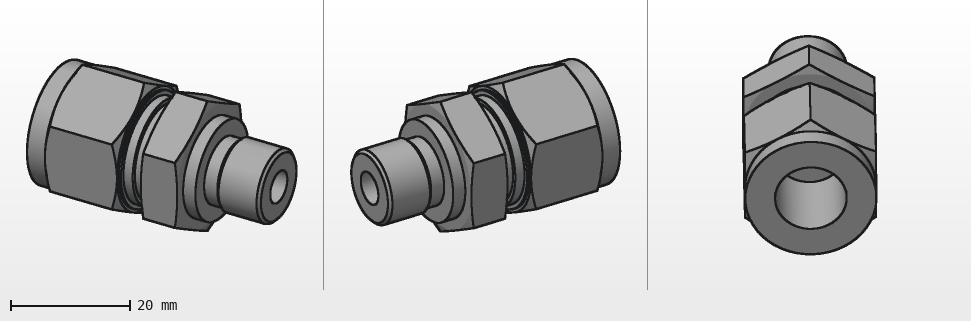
import cadquery as cq
import math

total_length = 42.3
across_flats = 22.0
across_corners = across_flats / math.cos(math.radians(30))

nut_collar_end = 3.45
nut_hex_end = 17.35
nut_lip_end = 17.77
body_ring_end = 19.55
neck_end = 21.95
body_hex_end = 29.0
seal_collar_end = 31.35
undercut_end = 33.9

nut_lip_diameter = 20.75
body_ring_diameter = 19.05
neck_diameter = 17.5
seal_collar_diameter = 18.03
undercut_diameter = 12.1
thread_diameter = 13.2
tube_bore_diameter = 12.0
through_bore_diameter = 5.8

tube_bore_depth = 15.25
nut_chamfer_angle = 30.0
body_hex_chamfer_angle = 15.0
thread_chamfer = (thread_diameter - undercut_diameter) / 2


def cylinder(start, end, diameter):
    """Round section along X between two stations."""
    return cq.Workplane("YZ", origin=(start, 0, 0)).circle(diameter / 2).extrude(end - start)


def chamfered_hexagon(start, end, chamfer_angle):
    """Hexagon with corners up and down, turned conically down to its flats at both ends."""
    hexagon = (
        cq.Workplane("YZ", origin=(start, 0, 0))
        .transformed(rotate=(0, 0, 90))
        .polygon(6, across_corners)
        .extrude(end - start)
    )
    flat_radius = across_flats / 2
    corner_radius = across_corners / 2
    run = (corner_radius - flat_radius) * math.tan(math.radians(chamfer_angle))
    turned_envelope = (
        cq.Workplane("XY")
        .moveTo(start, 0)
        .lineTo(start, flat_radius)
        .lineTo(start + run, corner_radius)
        .lineTo(end - run, corner_radius)
        .lineTo(end, flat_radius)
        .lineTo(end, 0)
        .close()
        .revolve(360, (0, 0, 0), (1, 0, 0))
    )
    return hexagon.intersect(turned_envelope)


nut = (
    cylinder(0, nut_collar_end, across_flats)
    .union(chamfered_hexagon(nut_collar_end, nut_hex_end, nut_chamfer_angle))
    .union(cylinder(nut_hex_end, nut_lip_end, nut_lip_diameter))
)

body = (
    cylinder(nut_lip_end, body_ring_end, body_ring_diameter)
    .union(cylinder(body_ring_end, neck_end, neck_diameter))
    .union(chamfered_hexagon(neck_end, body_hex_end, body_hex_chamfer_angle))
    .union(cylinder(body_hex_end, seal_collar_end, seal_collar_diameter))
    .union(cylinder(seal_collar_end, undercut_end, undercut_diameter))
)

thread = cylinder(undercut_end, total_length, thread_diameter)
thread = thread.faces("<X or >X").edges().chamfer(thread_chamfer)

tube_bore = cylinder(0, tube_bore_depth, tube_bore_diameter)
through_bore = cylinder(0, total_length, through_bore_diameter)

result = nut.union(body).union(thread).cut(tube_bore).cut(through_bore)